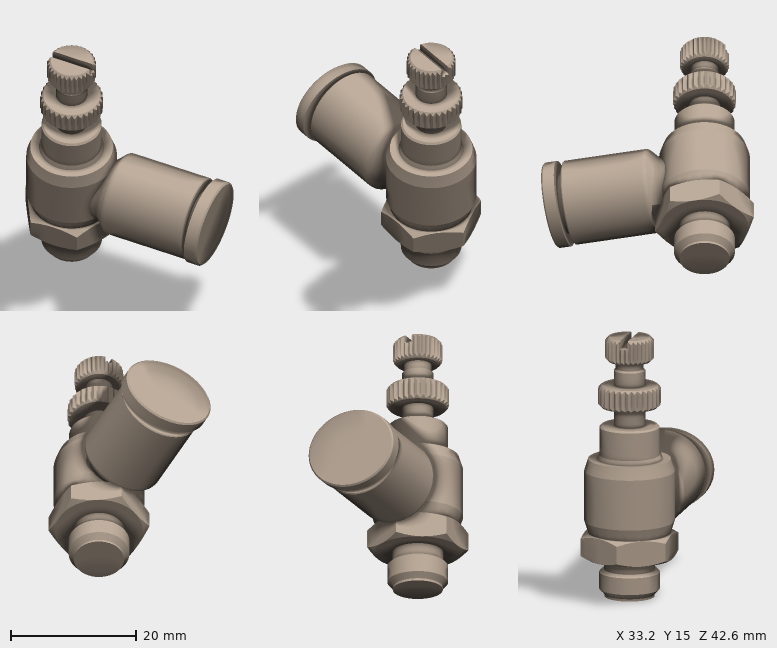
import cadquery as cq
import math


tip_radius = 4.0
tip_height = 0.4
thread_radius = 4.85
lead_in_top = 1.28
thread_top = 4.0
thread_chamfer = 0.45
relief_radius = 4.1

hex_bottom = 6.4
hex_top = 10.52
hex_across_flats = 14.0
hex_chamfer_angle = 30
hex_corner_radius = hex_across_flats / math.sqrt(3)

body_end_radius = 6.6
body_radius = 7.25
body_lower_edge = 12.45
body_upper_edge = 20.6
body_top = 22.58
bonnet_foot_radius = 5.2
bonnet_radius = 4.8
bonnet_foot_height = 0.7
bonnet_top = 28.07
bonnet_chamfer = 0.3

stem_radius = 2.5
stem_top = 37.05
stem_chamfer = 0.3
screw_neck_radius = 2.2
part_height = 42.6

tooth_count = 30
tooth_half_pitch = 180 / tooth_count
knurl_chamfer_angle = 45
knob_bottom = 38.55
knob_tip_radius = 3.9
knob_root_radius = 3.5
knob_face_radius = 3.32
slot_width = 1.25
slot_depth = 1.4
nut_bottom = 31.1
nut_top = 34.68
nut_tip_radius = 5.03
nut_root_radius = 4.6
nut_face_radius = 4.5

port_height = 15.35
port_neck_radius = 4.95
port_radius = 6.77
port_cone_start = 6.48
port_inner_fillet = 1.02
port_outer_fillet = 0.9
port_end = 22.05
port_end_chamfer = 0.15
groove_radius = 4.85
collar_start = 22.95
collar_end = 25.1
collar_width = 15.0
collar_height = 13.0
collar_chamfer = 0.25

clearance_inner_radius = 7.2
clearance_radius = 8.45
clearance_edge_height = 9.9


def turned(profile):
    """Revolve (radius, height) points, closed along the Z axis, about that axis."""
    return cq.Workplane("XZ").polyline(profile).close().revolve(360, (0, 0, 0), (0, 1, 0))


def chamfered_cylinder_envelope(face_radius, outer_radius, bottom, top, angle):
    """Cylinder with a cone at each end, narrowing to face_radius at the end faces."""
    drop = (outer_radius - face_radius) * math.tan(math.radians(angle))
    return turned([
        (0, bottom),
        (face_radius, bottom),
        (outer_radius, bottom + drop),
        (outer_radius, top - drop),
        (face_radius, top),
        (0, top),
    ])


def make_threaded_end():
    return turned([
        (0, 0),
        (tip_radius, 0),
        (tip_radius, tip_height),
        (thread_radius, lead_in_top),
        (thread_radius, thread_top),
        (thread_radius - thread_chamfer, thread_top + thread_chamfer),
        (relief_radius, thread_top + thread_chamfer),
        (relief_radius, hex_bottom),
        (0, hex_bottom),
    ])


def make_hexagon():
    prism = (
        cq.Workplane("XY", origin=(0, 0, hex_bottom))
        .polygon(6, 2 * hex_corner_radius)
        .extrude(hex_top - hex_bottom)
    )
    envelope = chamfered_cylinder_envelope(
        hex_across_flats / 2, hex_corner_radius, hex_bottom, hex_top, hex_chamfer_angle
    )
    return prism.intersect(envelope)


def make_body_and_stem():
    return turned([
        (0, hex_top),
        (body_end_radius, hex_top),
        (body_radius, body_lower_edge),
        (body_radius, body_upper_edge),
        (body_end_radius, body_top),
        (bonnet_foot_radius, body_top),
        (bonnet_radius, body_top + bonnet_foot_height),
        (bonnet_radius, bonnet_top - bonnet_chamfer),
        (bonnet_radius - bonnet_chamfer, bonnet_top),
        (stem_radius, bonnet_top),
        (stem_radius, stem_top),
        (screw_neck_radius, stem_top + stem_chamfer),
        (screw_neck_radius, knob_bottom),
        (0, knob_bottom),
    ])


def make_knurled_disc(tip_radius, root_radius, face_radius, bottom, top, first_tooth_angle):
    """Disc with pointed teeth, counted from an angle to +X in degrees, and chamfered ends."""
    outline = []
    for step in range(2 * tooth_count):
        radius = tip_radius if step % 2 == 0 else root_radius
        angle = math.radians(first_tooth_angle + step * tooth_half_pitch)
        outline.append((radius * math.cos(angle), radius * math.sin(angle)))
    teeth = cq.Workplane("XY", origin=(0, 0, bottom)).polyline(outline).close().extrude(top - bottom)
    envelope = chamfered_cylinder_envelope(face_radius, tip_radius, bottom, top, knurl_chamfer_angle)
    return teeth.intersect(envelope)


def make_knob():
    knob = make_knurled_disc(
        knob_tip_radius,
        knob_root_radius,
        knob_face_radius,
        knob_bottom,
        part_height,
        first_tooth_angle=tooth_half_pitch,
    )
    slot = cq.Workplane("XY", origin=(0, 0, part_height - slot_depth)).box(
        3 * knob_tip_radius, slot_width, 2 * slot_depth, centered=(True, True, False)
    )
    return knob.cut(slot)


def make_tube_port():
    cone_end = port_cone_start + port_radius - port_neck_radius
    profile = [
        (0, 0),
        (0, port_neck_radius),
        (port_cone_start, port_neck_radius),
        (cone_end, port_radius),
        (port_end - port_end_chamfer, port_radius),
        (port_end, port_radius - port_end_chamfer),
        (port_end, groove_radius),
        (collar_start, groove_radius),
        (collar_start, 0),
    ]
    port = (
        cq.Workplane("XZ", origin=(0, 0, port_height))
        .polyline(profile)
        .close()
        .revolve(360, (0, 0, 0), (1, 0, 0))
    )
    margin = 0.05
    for position, radius in ((port_cone_start, port_inner_fillet), (cone_end, port_outer_fillet)):
        edge = cq.selectors.BoxSelector(
            (position - margin, -2 * port_radius, port_height - 2 * port_radius),
            (position + margin, 2 * port_radius, port_height + 2 * port_radius),
            boundingbox=True,
        )
        port = port.edges(edge).fillet(radius)

    collar = (
        cq.Workplane("YZ", origin=(collar_start, 0, port_height))
        .ellipse(collar_width / 2, collar_height / 2)
        .extrude(collar_end - collar_start)
        .faces(">X")
        .chamfer(collar_chamfer)
    )
    clearance = turned([
        (0, 0),
        (clearance_radius, 0),
        (clearance_radius, clearance_edge_height),
        (clearance_inner_radius, hex_top),
        (0, hex_top),
    ])
    return port.cut(clearance).union(collar)


lock_nut = make_knurled_disc(
    nut_tip_radius,
    nut_root_radius,
    nut_face_radius,
    nut_bottom,
    nut_top,
    first_tooth_angle=0,
)

result = (
    make_threaded_end()
    .union(make_hexagon())
    .union(make_body_and_stem())
    .union(lock_nut)
    .union(make_knob())
    .union(make_tube_port())
)